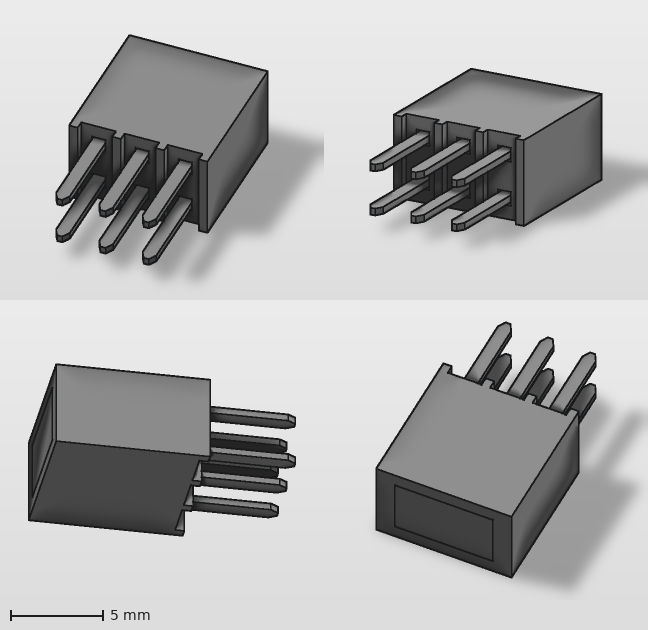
import cadquery as cq

total_length = 13.44
housing_length = 8.5
housing_height = 4.95

columns = 3
rows = 2
pitch = 2.54

rib_width = 0.51
rib_depth = 0.51
housing_width = columns * pitch + rib_width

pin_width = 0.8
pin_thickness = 0.4
tip_length = 0.45
tip_width = 0.3
hole_size = pin_width

carrier_thickness = 1.0
carrier_width = (columns - 1) * pitch + pin_width
carrier_height = (rows - 1) * pitch + hole_size

pin_tip_y = -total_length / 2
back_y = total_length / 2
rib_end_y = back_y - housing_length
groove_floor_y = rib_end_y + rib_depth
carrier_front_y = back_y - carrier_thickness

column_xs = [(column - (columns - 1) / 2) * pitch for column in range(columns)]
row_zs = [(row - (rows - 1) / 2) * pitch for row in range(rows)]


def block(width, height, y_start, y_end, x=0, z=0):
    """Box between two Y positions, centred on x and z."""
    length = y_end - y_start
    return cq.Workplane("XY").box(width, length, height).translate((x, (y_start + y_end) / 2, z))


def make_carrier():
    """Plate that fills the recess in the housing's back."""
    return block(carrier_width, carrier_height, carrier_front_y, back_y)


def make_pin(x, z):
    """Flat pin that tapers in width at its free end."""
    half_width = pin_width / 2
    half_tip = tip_width / 2
    taper_y = pin_tip_y + tip_length
    outline = [
        (-half_tip, pin_tip_y),
        (half_tip, pin_tip_y),
        (half_width, taper_y),
        (half_width, carrier_front_y),
        (-half_width, carrier_front_y),
        (-half_width, taper_y),
    ]
    pin = cq.Workplane("XY").polyline(outline).close().extrude(pin_thickness / 2, both=True)
    return pin.translate((x, 0, z))


def make_housing():
    """Block with a groove over each column, pin holes and the carrier recess."""
    body = block(housing_width, housing_height, rib_end_y, back_y)
    for x in column_xs:
        body = body.cut(block(pitch - rib_width, housing_height, rib_end_y, groove_floor_y, x))
        for z in row_zs:
            body = body.cut(block(hole_size, hole_size, groove_floor_y, carrier_front_y, x, z))
    return body.cut(make_carrier())


def make_contacts():
    """All pins and their carrier plate as one solid."""
    contact_set = make_carrier()
    for x in column_xs:
        for z in row_zs:
            contact_set = contact_set.union(make_pin(x, z))
    return contact_set


housing = make_housing()
contacts = make_contacts()

result = cq.Compound.makeCompound([housing.solids().val(), contacts.solids().val()])